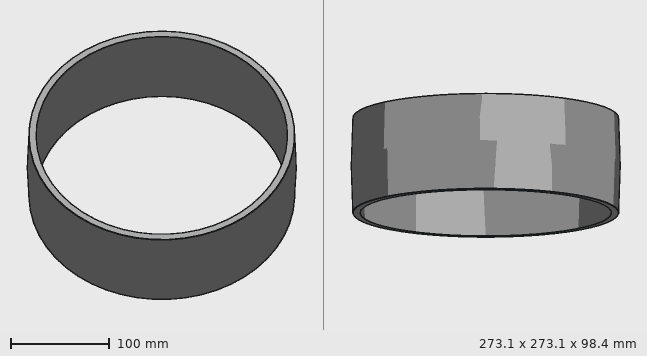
import cadquery as cq

ridge_diameter = 273.05
end_diameter = 269.7
bore_diameter = 254.5
height = 98.425
ridge_width = 0.4
bore_chamfer = 0.3
outer_chamfer = 0.5

ridge_radius = ridge_diameter / 2
end_radius = end_diameter / 2
bore_radius = bore_diameter / 2
half_height = height / 2
half_ridge = ridge_width / 2


def make_sleeve():
    """Ring with a straight bore and an outside that tapers from a mid-height ridge to both ends."""
    half_section = cq.Workplane("XZ").polyline(
        [
            (bore_radius, -half_height),
            (end_radius, -half_height),
            (ridge_radius, -half_ridge),
            (ridge_radius, half_ridge),
            (end_radius, half_height),
            (bore_radius, half_height),
        ]
    ).close()
    return half_section.revolve(360, (0, 0), (0, 1))


def chamfer_end_rims(sleeve):
    """Break the bore edge and the outside edge of both end faces."""
    for end_face in (">Z", "<Z"):
        sleeve = sleeve.faces(end_face).edges(cq.selectors.RadiusNthSelector(0)).chamfer(bore_chamfer)
        sleeve = sleeve.faces(end_face).edges(cq.selectors.RadiusNthSelector(-1)).chamfer(outer_chamfer)
    return sleeve


result = chamfer_end_rims(make_sleeve())